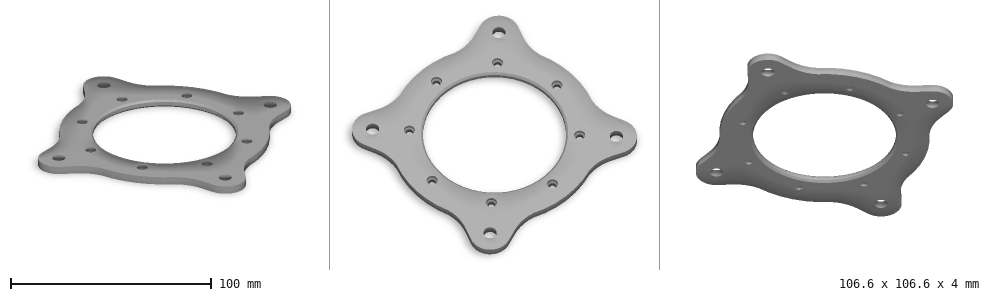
import cadquery as cq
import math

thickness = 4.0
overall_width = 106.57
disk_radius = 52.5

mount_hole_spacing = 86.0
mount_hole_diameter = 6.6
lobe_center = mount_hole_spacing / 2
lobe_radius = overall_width / 2 - lobe_center

flank_angle = math.radians(21.3)
flank_length = 6.95
waist_angle = math.radians(21.3)

bore_diameter = 71.5
bore_chamfer = 1.0

screw_count = 8
screw_circle_diameter = 85.0
screw_hole_diameter = 3.5
screw_head_diameter = 5.5
screw_head_depth = 1.5
screw_hole_chamfer = 0.4


def polar(center, radius, angle):
    """Point at the given angle from +Y (clockwise) and radius about a center."""
    return (center[0] + radius * math.sin(angle), center[1] + radius * math.cos(angle))


def mirror_x(point):
    """Point reflected to the other side of the Y axis."""
    return (-point[0], point[1])


def turned(point, quarters):
    """Point turned clockwise about the origin by a number of quarter turns."""
    x, y = point
    for _ in range(quarters):
        x, y = y, -x
    return (x, y)


def make_outline():
    """Closed outline: the same disk arc, waists and lobe repeated on all four sides."""
    lobe = (lobe_center, lobe_center)
    disk_end = polar((0, 0), disk_radius, waist_angle)
    lobe_start = polar(lobe, lobe_radius, -flank_angle)
    lobe_tip = polar(lobe, lobe_radius, math.pi / 4)
    waist_end = (
        lobe_start[0] - flank_length * math.cos(flank_angle),
        lobe_start[1] - flank_length * math.sin(flank_angle),
    )

    chord_x = waist_end[0] - disk_end[0]
    chord_y = waist_end[1] - disk_end[1]
    half_sweep = flank_angle - math.atan2(chord_y, chord_x)
    waist_radius = math.hypot(chord_x, chord_y) / (2 * math.sin(half_sweep))
    waist_center = polar(waist_end, waist_radius, -flank_angle)
    waist_middle = polar(waist_center, -waist_radius, half_sweep - flank_angle)

    outline = cq.Workplane("XY").moveTo(*mirror_x(disk_end))
    for quarter in range(4):
        lobe_end = turned(mirror_x(lobe_start), quarter + 1)
        next_waist_start = turned(mirror_x(waist_end), quarter + 1)
        next_waist_middle = turned(mirror_x(waist_middle), quarter + 1)
        next_disk_start = turned(mirror_x(disk_end), quarter + 1)
        outline = (
            outline.threePointArc(turned((0, disk_radius), quarter), turned(disk_end, quarter))
            .threePointArc(turned(waist_middle, quarter), turned(waist_end, quarter))
            .lineTo(*turned(lobe_start, quarter))
            .threePointArc(turned(lobe_tip, quarter), lobe_end)
            .lineTo(*next_waist_start)
            .threePointArc(next_waist_middle, next_disk_start)
        )
    return outline.close()


def chamfer_cutter(face_z, diameter, size, direction):
    """45-degree cone, widest at face_z and narrowing upward (direction +1) or downward (-1)."""
    return (
        cq.Workplane("XY").workplane(offset=face_z)
        .circle(diameter / 2 + size)
        .workplane(offset=direction * size)
        .circle(diameter / 2)
        .loft()
    )


def cut_bore(plate):
    """Through bore with a chamfer on both rims."""
    bore = cq.Workplane("XY").circle(bore_diameter / 2).extrude(thickness)
    upper_rim = chamfer_cutter(thickness, bore_diameter, bore_chamfer, -1)
    lower_rim = chamfer_cutter(0, bore_diameter, bore_chamfer, 1)
    return plate.cut(bore).cut(upper_rim).cut(lower_rim)


def cut_mount_holes(plate):
    """Plain through hole at the center of each corner lobe."""
    return (
        plate.faces(">Z").workplane(origin=(0, 0))
        .rect(mount_hole_spacing, mount_hole_spacing, forConstruction=True)
        .vertices().hole(mount_hole_diameter)
    )


def screw_hole_cutter():
    """Shank hole, head counterbore from the top face and the chamfer between them."""
    floor_z = thickness - screw_head_depth
    shank = cq.Workplane("XY").circle(screw_hole_diameter / 2).extrude(thickness)
    head = (
        cq.Workplane("XY").workplane(offset=floor_z)
        .circle(screw_head_diameter / 2).extrude(screw_head_depth)
    )
    rim = chamfer_cutter(floor_z, screw_hole_diameter, screw_hole_chamfer, -1)
    return shank.union(head).union(rim)


def cut_screw_holes(plate):
    """Screw holes evenly spaced around the bore, the first on the +X axis."""
    cutter = screw_hole_cutter().translate((screw_circle_diameter / 2, 0, 0))
    for index in range(screw_count):
        angle = index * 360 / screw_count
        plate = plate.cut(cutter.rotate((0, 0, 0), (0, 0, 1), angle))
    return plate


plate = make_outline().extrude(thickness)
plate = cut_bore(plate)
plate = cut_mount_holes(plate)
result = cut_screw_holes(plate)